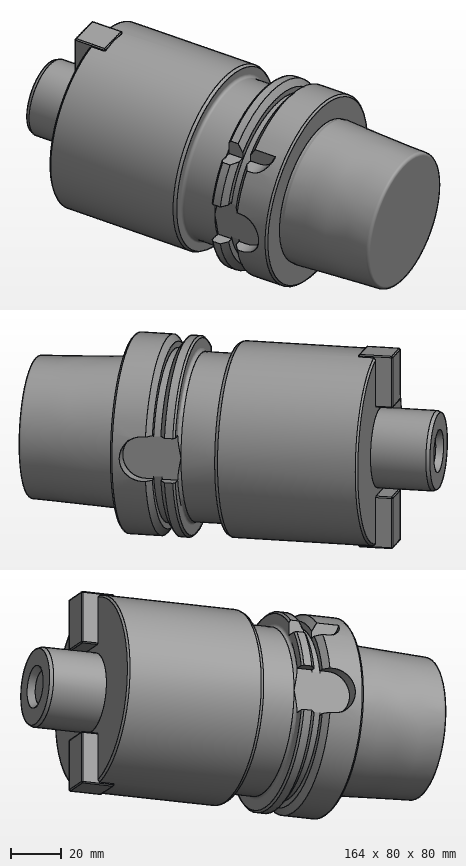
import cadquery as cq
LENGTH = 164.0

PILOT_RADIUS = 32.0 / 2
PILOT_CHAMFER_LENGTH = 1.5
PILOT_CHAMFER_HEIGHT = 0.7
RECESS_MOUTH_RADIUS = 17.0 / 2
RECESS_FLOOR_RADIUS = 6.9
RECESS_DEPTH = 2.8

BODY_FRONT = 24.0
BODY_REAR = 82.0
BODY_RADIUS = 78.0 / 2
BODY_FRONT_CHAMFER = 0.8
BODY_REAR_CHAMFER_LENGTH = 1.3
BODY_REAR_CHAMFER_HEIGHT = 0.7

NECK_RADIUS = 67.5 / 2
NECK_FILLET = 1.3

FLANGE_FRONT = 98.0
FLANGE_REAR = 124.1
FLANGE_RADIUS = 80.0 / 2
FLANGE_CHAMFER = 0.8
GROOVE_CENTRE = 106.1
GROOVE_FLOOR_RADIUS = 34.8
GROOVE_WALL_RADIUS = 37.2
GROOVE_FLOOR_WIDTH = 3.5
GROOVE_MOUTH_WIDTH = 7.7

NECK_FRONT = BODY_REAR + NECK_FILLET
NECK_REAR = FLANGE_FRONT - NECK_FILLET

SHANK_RADIUS = 30.3
SHANK_START = 126.1
SHANK_TAPER = 1 / 10
SHANK_END_FILLET = 1.3
RELIEF_RADIUS = 60.2 / 2
RELIEF_END = 125.1

KEY_FRONT = 17.0
KEY_SIZE = 14.0
KEY_INNER = 18.2
KEY_OUTER = 39.4
KEY_CHAMFER = 0.5

SLOT_WIDTH = 18.2
SLOT_END = 120.4
SLOT_FLOOR = NECK_RADIUS

NOTCH_OFFSET = 25.0
NOTCH_END_RADIUS = 7.63
NOTCH_END = 119.4


def turned_body():
    """Solid of revolution through pilot, body, neck, flange and shank."""
    shank_end_radius = SHANK_RADIUS - (LENGTH - SHANK_START) * SHANK_TAPER / 2
    groove_floor_half = GROOVE_FLOOR_WIDTH / 2
    groove_mouth_half = GROOVE_MOUTH_WIDTH / 2
    profile = (
        cq.Workplane("XY")
        .moveTo(0, 0)
        .lineTo(0, PILOT_RADIUS - PILOT_CHAMFER_HEIGHT)
        .lineTo(PILOT_CHAMFER_LENGTH, PILOT_RADIUS)
        .lineTo(BODY_FRONT, PILOT_RADIUS)
        .lineTo(BODY_FRONT, BODY_RADIUS - BODY_FRONT_CHAMFER)
        .lineTo(BODY_FRONT + BODY_FRONT_CHAMFER, BODY_RADIUS)
        .lineTo(BODY_REAR - BODY_REAR_CHAMFER_LENGTH, BODY_RADIUS)
        .lineTo(BODY_REAR, BODY_RADIUS - BODY_REAR_CHAMFER_HEIGHT)
        .lineTo(BODY_REAR, NECK_RADIUS + NECK_FILLET)
        .radiusArc((NECK_FRONT, NECK_RADIUS), -NECK_FILLET)
        .lineTo(NECK_REAR, NECK_RADIUS)
        .radiusArc((FLANGE_FRONT, NECK_RADIUS + NECK_FILLET), -NECK_FILLET)
        .lineTo(FLANGE_FRONT, FLANGE_RADIUS - FLANGE_CHAMFER)
        .lineTo(FLANGE_FRONT + FLANGE_CHAMFER, FLANGE_RADIUS)
        .lineTo(GROOVE_CENTRE - groove_mouth_half, FLANGE_RADIUS)
        .lineTo(GROOVE_CENTRE - groove_floor_half, GROOVE_WALL_RADIUS)
        .lineTo(GROOVE_CENTRE - groove_floor_half, GROOVE_FLOOR_RADIUS)
        .lineTo(GROOVE_CENTRE + groove_floor_half, GROOVE_FLOOR_RADIUS)
        .lineTo(GROOVE_CENTRE + groove_floor_half, GROOVE_WALL_RADIUS)
        .lineTo(GROOVE_CENTRE + groove_mouth_half, FLANGE_RADIUS)
        .lineTo(FLANGE_REAR - FLANGE_CHAMFER, FLANGE_RADIUS)
        .lineTo(FLANGE_REAR, FLANGE_RADIUS - FLANGE_CHAMFER)
        .lineTo(FLANGE_REAR, RELIEF_RADIUS)
        .lineTo(RELIEF_END, RELIEF_RADIUS)
        .lineTo(SHANK_START, SHANK_RADIUS)
        .lineTo(LENGTH, shank_end_radius)
        .lineTo(LENGTH, 0)
        .close()
    )
    body = profile.revolve(360, (0, 0, 0), (1, 0, 0))
    return body.faces(">X").edges().fillet(SHANK_END_FILLET)


def pilot_recess():
    """Conical recess with a flat floor, sunk into the pilot tip."""
    profile = (
        cq.Workplane("XY")
        .moveTo(0, 0)
        .lineTo(0, RECESS_MOUTH_RADIUS)
        .lineTo(RECESS_DEPTH, RECESS_FLOOR_RADIUS)
        .lineTo(RECESS_DEPTH, 0)
        .close()
    )
    return profile.revolve(360, (0, 0, 0), (1, 0, 0))


def driving_key(side):
    """Chamfered block let into the body front, above (+1) or below (-1) the axis."""
    height = KEY_OUTER - KEY_INNER
    middle = (KEY_FRONT + KEY_SIZE / 2, 0, side * (KEY_INNER + height / 2))
    block = cq.Workplane("XY").box(KEY_SIZE, KEY_SIZE, height).edges().chamfer(KEY_CHAMFER)
    return block.translate(middle)


def flange_slot(side):
    """Flat-floored slot, open to the front and round at the rear, on the +Y or -Y side."""
    radius = SLOT_WIDTH / 2
    centre = SLOT_END - radius
    depth = FLANGE_RADIUS - SLOT_FLOOR
    outline = (
        cq.Workplane("XZ", origin=(0, side * SLOT_FLOOR, 0))
        .moveTo(NECK_FRONT, -radius)
        .lineTo(centre, -radius)
        .threePointArc((SLOT_END, 0), (centre, radius))
        .lineTo(NECK_FRONT, radius)
        .close()
    )
    return outline.extrude(-side * depth)


def indexing_notch():
    """Step cut in the flange rim towards -Y and +Z, with a rear end curving up."""
    centre = NOTCH_END - NOTCH_END_RADIUS
    outline = (
        cq.Workplane("XZ", origin=(0, -NOTCH_OFFSET, 0))
        .moveTo(NECK_FRONT, NOTCH_OFFSET)
        .lineTo(centre, NOTCH_OFFSET)
        .radiusArc((NOTCH_END, NOTCH_OFFSET + NOTCH_END_RADIUS), -NOTCH_END_RADIUS)
        .lineTo(NOTCH_END, FLANGE_RADIUS)
        .lineTo(NECK_FRONT, FLANGE_RADIUS)
        .close()
    )
    return outline.extrude(FLANGE_RADIUS - NOTCH_OFFSET)


result = turned_body().cut(pilot_recess()).cut(indexing_notch())
for side in (1, -1):
    result = result.union(driving_key(side)).cut(flange_slot(side))